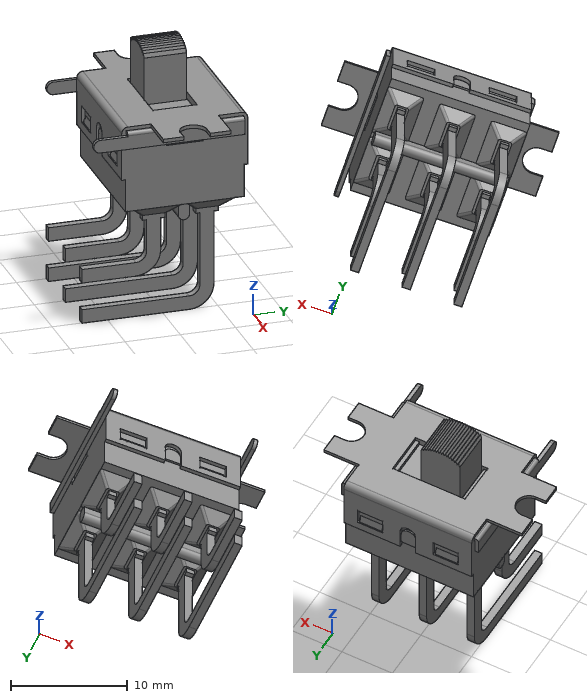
import cadquery as cq
import math


sheet = 0.32
shell_length = 12.65
shell_depth = 11.42
shell_drop = 4.95
shell_bend_radius = 0.55
ear_span = 19.57
ear_depth = 6.13
ear_slot_diameter = 2.4
ear_slot_center_x = 8.77
opening_length = 7.15
opening_depth = 4.02

slot_width = 1.5
slot_top_z = -2.2
window_length = 2.5
window_height = 1.5
window_center_x = 3.74
window_bottom_z = -4.15
boss_top_z = -2.76
boss_bottom_z = -4.48
boss_height = 0.16
catch_length = 2.2
catch_height = 0.63
catch_overhang = 0.2

body_depth = shell_depth - 2 * sheet
body_bottom_z = -7.94
side_recess_width = 3.3
side_recess_bottom_z = -2.2
side_recess_inset = 0.23

arm_outer_x = 6.78
arm_thickness = 0.37
arm_bend_radius = 0.3
arm_top_z = -0.72
arm_height = 1.18
arm_tip_y = -8.38
inner_sheet_depth = 10.6
inner_opening_length = 6.35

knob_width = 3.85
knob_center_x = -1.1
knob_top_z = 4.73
crown_drop = 0.97
tooth_count = 15
tooth_height = 0.28

pin_pitch = 4.71
row_offset = 2.41
pin_width = 0.75
pin_thickness = 1.28
pin_inner_radius = 0.97
pin_end_y = -8.9
total_height = 23.2
row_step = 3.78
long_pin_bottom_z = knob_top_z - total_height
short_pin_bottom_z = long_pin_bottom_z + row_step
stub_depth = 2.05
stub_bottom_z = -9.52
collar_bottom_z = -8.95
collar_foot_length = 1.23
collar_foot_depth = 2.35
collar_corner_radius = 0.3

rail_length = 12.16
rail_width = 1.02


def block(x_size, y_size, z_low, z_high, x=0, y=0):
    """Upright box centred at (x, y) between two heights."""
    return (
        cq.Workplane("XY", origin=(x, y, z_low))
        .rect(x_size, y_size)
        .extrude(z_high - z_low)
    )


def arched(width, z_low, z_top, y_near, y_far):
    """Slab with a flat foot and a semicircular head, spanning two Y positions."""
    half = width / 2
    spring_z = z_top - half
    return (
        cq.Workplane("XZ", origin=(0, y_far, 0))
        .moveTo(-half, z_low)
        .lineTo(-half, spring_z)
        .threePointArc((0, z_top), (half, spring_z))
        .lineTo(half, z_low)
        .close()
        .extrude(y_far - y_near)
    )


def both_sides(shape, plane):
    """Shape together with its mirror image."""
    return shape.union(shape.mirror(plane))


def make_housing():
    """Shell over the body, with ears, wall openings, bosses and catches."""
    shell = block(shell_length, shell_depth, -shell_drop, 0)
    shell = shell.edges("|X and >Z").fillet(shell_bend_radius)

    ears = block(ear_span, ear_depth, -sheet, 0)
    slot_reach = ear_span / 2 - ear_slot_center_x + ear_slot_diameter
    ear_slot = (
        cq.Workplane("XY", origin=(ear_slot_center_x + slot_reach / 2, 0, -sheet))
        .slot2D(slot_reach + ear_slot_diameter, ear_slot_diameter)
        .extrude(sheet)
    )
    ears = ears.cut(both_sides(ear_slot, "YZ"))

    wall_y = -shell_depth / 2
    face_y = -body_depth / 2
    wall_cuts = arched(slot_width, -shell_drop, slot_top_z, wall_y, face_y)
    wall_y_center = (wall_y + face_y) / 2
    window_top_z = window_bottom_z + window_height
    for side in (-1, 1):
        window = block(window_length, sheet, window_bottom_z, window_top_z,
                       side * window_center_x, wall_y_center)
        wall_cuts = wall_cuts.union(window)

    bosses = arched(slot_width, boss_bottom_z, boss_top_z, face_y - boss_height, face_y)
    for side in (-1, 1):
        catch = (
            cq.Workplane("YZ", origin=(side * window_center_x - catch_length / 2, 0, 0))
            .moveTo(face_y, window_bottom_z)
            .lineTo(face_y - catch_overhang, window_bottom_z)
            .lineTo(face_y, window_bottom_z + catch_height)
            .close()
            .extrude(catch_length)
        )
        bosses = bosses.union(catch)

    body = block(shell_length, body_depth, body_bottom_z, -shell_drop)
    recess = block(side_recess_inset, side_recess_width, side_recess_bottom_z, -2 * sheet,
                   (shell_length - side_recess_inset) / 2)
    return (
        shell.cut(both_sides(wall_cuts, "XZ"))
        .union(both_sides(bosses, "XZ"))
        .union(body)
        .cut(both_sides(recess, "YZ"))
        .union(ears)
        .cut(block(opening_length, opening_depth, -sheet, 0))
        .cut(block(inner_opening_length, opening_depth, -2 * sheet, -sheet))
    )


def make_arm():
    """Flange bent down from the inner sheet, with a round-ended arm toward -Y."""
    arm_bottom_z = arm_top_z - arm_height
    inner_x = arm_outer_x - arm_thickness
    root_x = shell_length / 2 - sheet
    flange = (
        cq.Workplane("XZ", origin=(0, inner_sheet_depth / 2, 0))
        .moveTo(root_x, -sheet)
        .lineTo(arm_outer_x - arm_bend_radius, -sheet)
        .radiusArc((arm_outer_x, -sheet - arm_bend_radius), arm_bend_radius)
        .lineTo(arm_outer_x, arm_bottom_z)
        .lineTo(inner_x, arm_bottom_z)
        .lineTo(inner_x, -2 * sheet)
        .lineTo(root_x, -2 * sheet)
        .close()
        .extrude(inner_sheet_depth)
    )
    tip_radius = arm_height / 2
    arm = (
        cq.Workplane("YZ", origin=(inner_x, 0, 0))
        .moveTo(0, arm_top_z)
        .lineTo(arm_tip_y + tip_radius, arm_top_z)
        .threePointArc((arm_tip_y, arm_top_z - tip_radius), (arm_tip_y + tip_radius, arm_bottom_z))
        .lineTo(0, arm_bottom_z)
        .close()
        .extrude(arm_thickness)
    )
    return flange.union(arm)


def make_knob():
    """Slider knob with evenly pitched upright teeth that follow a shallow crown arc."""
    half = knob_width / 2
    valley_sag = crown_drop - tooth_height
    crown_radius = (half ** 2 + valley_sag ** 2) / (2 * valley_sag)
    crown_center_z = knob_top_z - tooth_height - crown_radius

    def crown_z(x):
        """Height of the arc through the tooth roots, with x measured from the knob centre."""
        return crown_center_z + math.sqrt(crown_radius ** 2 - x ** 2)

    tooth_pitch = knob_width / tooth_count
    outline = [(half, -2 * sheet), (-half, -2 * sheet), (-half, crown_z(half))]
    for tooth in range(1, tooth_count + 1):
        root_x = -half + tooth * tooth_pitch
        tip_x = root_x - tooth_pitch / 2
        outline.append((tip_x, crown_z(tip_x) + tooth_height))
        outline.append((root_x, crown_z(root_x)))
    return (
        cq.Workplane("XZ", origin=(knob_center_x, half, 0))
        .polyline(outline)
        .close()
        .extrude(knob_width)
    )


def make_terminal(row_y, bottom_z):
    """Tapered collar, stub and pin bent toward -Y, at X = 0."""
    taper = body_bottom_z - collar_bottom_z
    collar = (
        cq.Workplane("XY", origin=(0, row_y, body_bottom_z))
        .rect(collar_foot_length + 2 * taper, collar_foot_depth + 2 * taper)
        .workplane(offset=-taper)
        .rect(collar_foot_length, collar_foot_depth)
        .loft()
    )
    collar = collar.edges("not #Z").fillet(collar_corner_radius)
    stub = block(pin_width, stub_depth, stub_bottom_z, collar_bottom_z, 0, row_y)

    back_y = row_y + pin_thickness / 2
    front_y = row_y - pin_thickness / 2
    outer_radius = pin_inner_radius + pin_thickness
    pin = (
        cq.Workplane("YZ", origin=(-pin_width / 2, 0, 0))
        .moveTo(front_y, stub_bottom_z)
        .lineTo(back_y, stub_bottom_z)
        .lineTo(back_y, bottom_z + outer_radius)
        .radiusArc((back_y - outer_radius, bottom_z), outer_radius)
        .lineTo(pin_end_y, bottom_z)
        .lineTo(pin_end_y, bottom_z + pin_thickness)
        .lineTo(front_y - pin_inner_radius, bottom_z + pin_thickness)
        .radiusArc((front_y, bottom_z + outer_radius), -pin_inner_radius)
        .close()
        .extrude(pin_width)
    )
    return collar.union(stub).union(pin)


def make_rail():
    """Rail along X with a fully rounded lower edge."""
    radius = rail_width / 2
    return (
        cq.Workplane("YZ", origin=(-rail_length / 2, 0, 0))
        .moveTo(radius, body_bottom_z)
        .lineTo(radius, stub_bottom_z + radius)
        .threePointArc((0, stub_bottom_z), (-radius, stub_bottom_z + radius))
        .lineTo(-radius, body_bottom_z)
        .close()
        .extrude(rail_length)
    )


result = make_housing().union(both_sides(make_arm(), "YZ")).union(make_knob()).union(make_rail())
for row_y, bottom_z in ((row_offset, long_pin_bottom_z), (-row_offset, short_pin_bottom_z)):
    terminal = make_terminal(row_y, bottom_z)
    for column in (-1, 0, 1):
        result = result.union(terminal.translate((column * pin_pitch, 0, 0)))